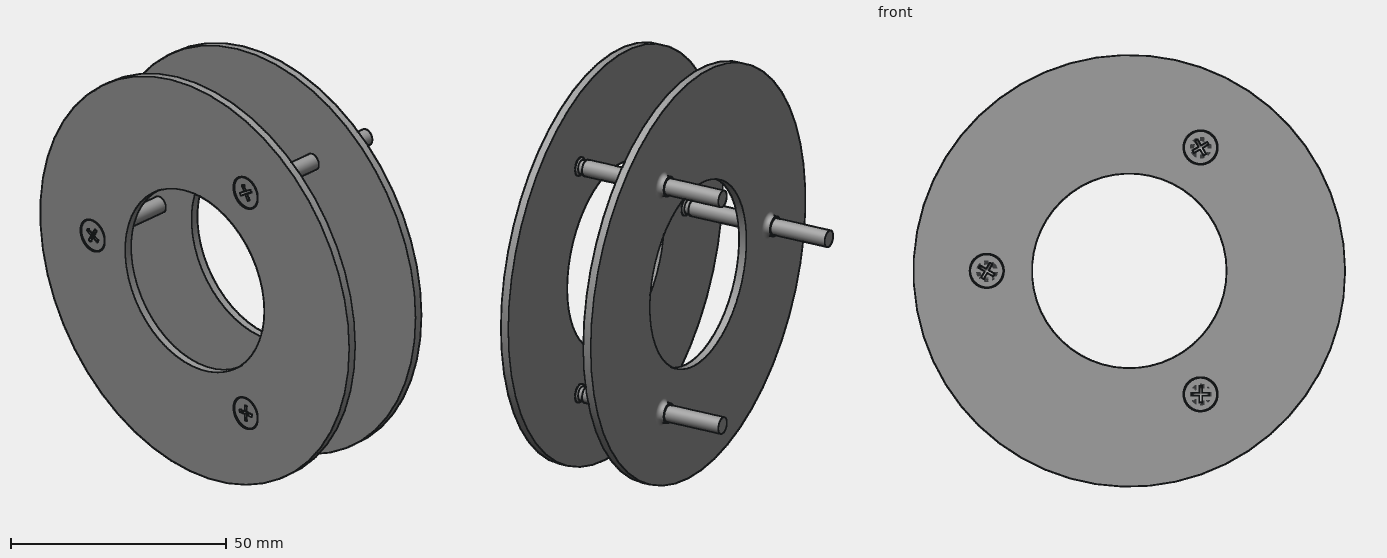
import cadquery as cq
import math

plate_diameter = 100.0
plate_opening_diameter = 45.0
plate_thickness = 2.0
plate_gap = 20.0
back_plate_y = plate_thickness + plate_gap
back_plate_end_y = back_plate_y + plate_thickness

screw_count = 3
screw_circle_radius = 33.0
first_screw_angle = -60.0

screw_length = 40.0
shank_radius = 2.0
neck_radius = 1.65
neck_end_radius = 1.9
shank_start_y = 3.6
head_rim_height = 0.2

countersink_radius = 4.0
clearance_radius = 2.25

head_radius = countersink_radius - head_rim_height
head_end_y = head_rim_height + head_radius - neck_radius

recess_arm_width = 0.7
recess_radius = 2.0
recess_inner_radius = 1.2
recess_shoulder_depth = 1.0
recess_depth = 1.9

collar_radius = 2.4
collar_height = 1.6
collar_root_fillet = 1.0
hole_entry_fillet = 0.4


def screw_angle(index):
    return first_screw_angle + index * 360.0 / screw_count


def at_screw(shape, index):
    """Move a shape built on the Y axis to one screw place, turned with the pattern."""
    placed = shape.translate((screw_circle_radius, 0, 0))
    return placed.rotate((0, 0, 0), (0, 1, 0), -screw_angle(index))


def revolve_about_y(points):
    """Solid of revolution from (radius, y) points."""
    return cq.Workplane("XY").polyline(points).close().revolve(360, (0, 0), (0, 1))


def ring_plate(start_y):
    ring = cq.Workplane("XZ").circle(plate_diameter / 2).circle(plate_opening_diameter / 2)
    return ring.extrude(-plate_thickness).translate((0, start_y, 0))


def make_front_plate():
    plate = ring_plate(0)
    hole = revolve_about_y([
        (0, 0),
        (countersink_radius, 0),
        (clearance_radius, countersink_radius - clearance_radius),
        (clearance_radius, plate_thickness),
        (0, plate_thickness),
    ])
    for index in range(screw_count):
        plate = plate.cut(at_screw(hole, index))
    return plate


def make_collar():
    """Collar with a hollow round root where it rises from the plate."""
    end_y = back_plate_end_y + collar_height
    root_radius = collar_radius + collar_root_fillet
    arc_middle = collar_root_fillet * (1 - math.sqrt(0.5))
    return (
        cq.Workplane("XY")
        .moveTo(0, back_plate_y)
        .lineTo(root_radius, back_plate_y)
        .lineTo(root_radius, back_plate_end_y)
        .threePointArc(
            (collar_radius + arc_middle, back_plate_end_y + arc_middle),
            (collar_radius, back_plate_end_y + collar_root_fillet),
        )
        .lineTo(collar_radius, end_y)
        .lineTo(0, end_y)
        .close()
        .revolve(360, (0, 0), (0, 1))
    )


def make_collar_hole():
    """Hole through plate and collar, rounded at its entry on the front face."""
    end_y = back_plate_end_y + collar_height
    arc_middle = hole_entry_fillet * (1 - math.sqrt(0.5))
    return (
        cq.Workplane("XY")
        .moveTo(0, back_plate_y)
        .lineTo(shank_radius + hole_entry_fillet, back_plate_y)
        .threePointArc(
            (shank_radius + arc_middle, back_plate_y + arc_middle),
            (shank_radius, back_plate_y + hole_entry_fillet),
        )
        .lineTo(shank_radius, end_y)
        .lineTo(0, end_y)
        .close()
        .revolve(360, (0, 0), (0, 1))
    )


def make_back_plate():
    plate = ring_plate(back_plate_y)
    collar = make_collar()
    hole = make_collar_hole()
    for index in range(screw_count):
        plate = plate.union(at_screw(collar, index)).cut(at_screw(hole, index))
    return plate


def make_cross_recess():
    """Cross whose arms slope inward in two steps to a point."""
    bowl = revolve_about_y([
        (0, 0),
        (recess_radius, 0),
        (recess_inner_radius, recess_shoulder_depth),
        (0, recess_depth),
    ])
    arm_length = 2 * recess_radius
    cross = (
        cq.Workplane("XZ")
        .rect(arm_length, recess_arm_width)
        .extrude(-recess_depth)
        .union(cq.Workplane("XZ").rect(recess_arm_width, arm_length).extrude(-recess_depth))
    )
    return bowl.intersect(cross)


def make_screw():
    body = revolve_about_y([
        (0, 0),
        (head_radius, 0),
        (head_radius, head_rim_height),
        (neck_radius, head_end_y),
        (neck_end_radius, shank_start_y),
        (shank_radius, shank_start_y),
        (shank_radius, screw_length),
        (0, screw_length),
    ])
    recess = make_cross_recess().rotate((0, 0, 0), (0, 1, 0), first_screw_angle)
    return body.cut(recess)


front_plate = make_front_plate()
back_plate = make_back_plate()
screw = make_screw()
screws = [at_screw(screw, index).val() for index in range(screw_count)]

result = cq.Compound.makeCompound([front_plate.val(), back_plate.val(), *screws])